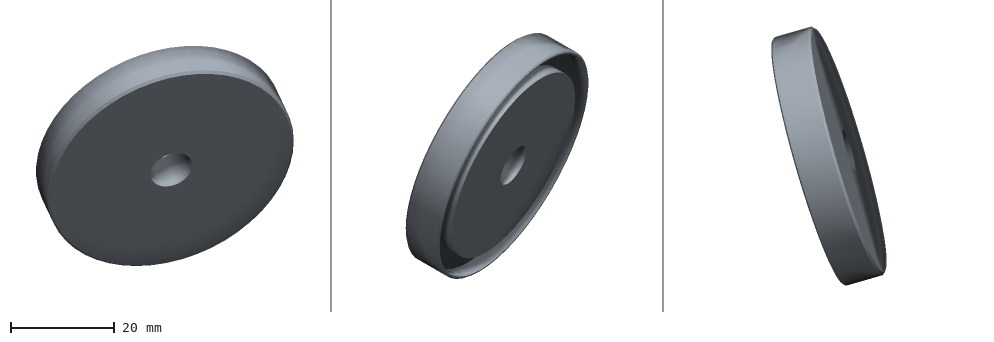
import cadquery as cq

outer_radius = 25.0
thickness = 8.0
bore_radius = 4.25

front_chamfer = 0.3
back_chamfer = 0.5

rim_wall = 0.65
recess_outer_radius = outer_radius - rim_wall
hub_radius = 20.35
recess_depth = 3.0

front_x = -thickness / 2
back_x = thickness / 2


def cylinder_along_x(radius, start_x, length):
    return cq.Workplane("YZ", origin=(start_x, 0, 0)).circle(radius).extrude(length)


disc = cylinder_along_x(outer_radius, front_x, thickness)
disc = disc.faces("<X").edges().chamfer(front_chamfer)
disc = disc.faces(">X").edges().chamfer(back_chamfer)

recess = cylinder_along_x(recess_outer_radius, front_x, recess_depth).cut(
    cylinder_along_x(hub_radius, front_x, recess_depth)
)

bore = cylinder_along_x(bore_radius, front_x, thickness)

result = disc.cut(recess).cut(bore)